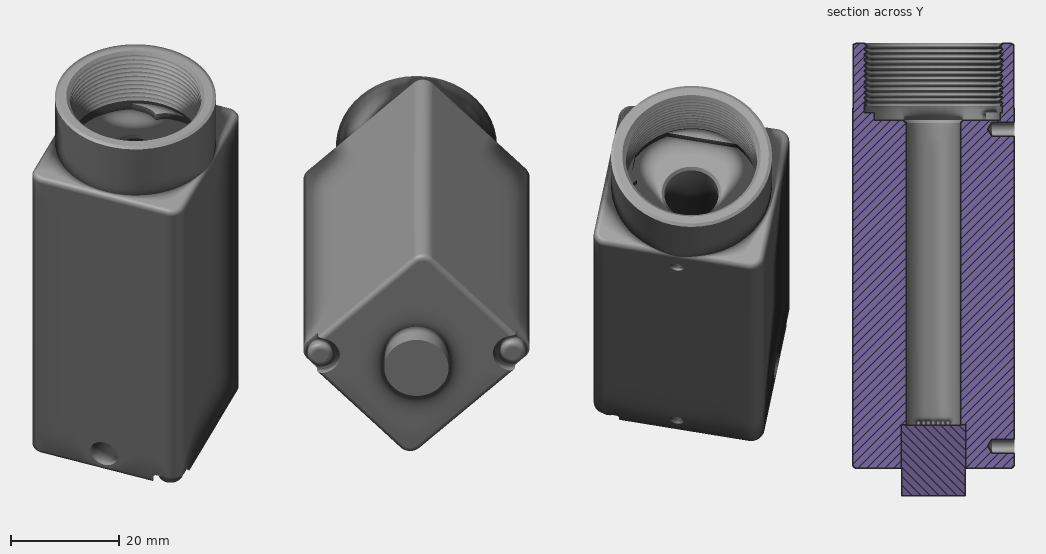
import cadquery as cq
import math

total_height = 83.45
width_x = 30.0
depth_y = 32.0

case_bottom = 5.0
case_top = 72.0
corner_radius = 2.5
rim_fillet = 1.0

ring_radius = 14.85
ring_edge_inset = 0.6
ring_edge_height = 0.25

thread_crest_radius = 12.2
thread_root_radius = 12.8
thread_pitch = 1.0
thread_turns = 11
mouth_chamfer = thread_root_radius - thread_crest_radius
thread_top = total_height - mouth_chamfer
thread_bottom = thread_top - thread_turns * thread_pitch

seat_radius = 12.7
seat_floor = 69.3
tab_top = 70.7
flat_tab_distance = 10.85
cusp_tab_distance = 11.5
cusp_tip_distance = 10.3
cusp_arc_radius = 4.2
cusp_tab_angles = (90, 200)

aperture_radius = 5.0
aperture_chamfer = 0.5

connector_radius = 5.9
connector_top = 13.0
pin_radius = 0.29
pin_height = 0.7
outer_pin_circle = 2.75
outer_pin_count = 9
inner_pin_circle = 1.04
inner_pin_count = 3

drill_tip_angle = 118
tripod_hole_radius = 2.7
tripod_hole_depth = 5.0
side_hole_radius = 1.25
side_hole_depth = 4.2
lower_hole_height = 9.2
upper_hole_height = 67.6

foot_inset = 2.9
foot_radius = 2.3
foot_recess_radius = 3.7
foot_recess_fillet = 0.4
foot_recess_top = 7.2


def case_blank():
    """Rectangular case with rounded upright edges and end rims."""
    base = cq.Workplane("XY").workplane(offset=case_bottom)
    block = base.rect(width_x, depth_y).extrude(case_top - case_bottom)
    return block.edges("|Z").fillet(corner_radius).faces("<Z or >Z").edges().fillet(rim_fillet)


def mount_ring():
    """Solid ring blank, reaching down through the rounded rim of the case."""
    base = case_top - rim_fillet
    return (
        cq.Workplane("XZ")
        .moveTo(0, base)
        .lineTo(ring_radius, base)
        .lineTo(ring_radius, total_height - ring_edge_height)
        .lineTo(ring_radius - ring_edge_inset, total_height)
        .lineTo(0, total_height)
        .close()
        .revolve(360, (0, 0, 0), (0, 1, 0))
    )


def bore_cutter():
    """Chamfered mouth, thread grooves and plain seat as one turned shape."""
    profile = (
        cq.Workplane("XZ")
        .moveTo(0, total_height)
        .lineTo(thread_root_radius, total_height)
        .lineTo(thread_crest_radius, thread_top)
    )
    for turn in range(thread_turns):
        groove_top = thread_top - turn * thread_pitch
        profile = profile.lineTo(thread_root_radius, groove_top - thread_pitch / 2)
        profile = profile.lineTo(thread_crest_radius, groove_top - thread_pitch)
    return (
        profile.lineTo(seat_radius, thread_bottom)
        .lineTo(seat_radius, seat_floor)
        .lineTo(0, seat_floor)
        .close()
        .revolve(360, (0, 0, 0), (0, 1, 0))
    )


def seat_plane():
    """Workplane on the seat floor."""
    return cq.Workplane("XY").workplane(offset=seat_floor)


def tab_from(outline):
    """Raise a closed outline to the tab height and trim it to the round seat wall."""
    tab_height = tab_top - seat_floor
    return outline.extrude(tab_height).intersect(seat_plane().circle(seat_radius).extrude(tab_height))


def flat_tab():
    """Tab on the +X side with a straight inner edge."""
    return tab_from(
        seat_plane()
        .moveTo(flat_tab_distance, -seat_radius)
        .lineTo(seat_radius, -seat_radius)
        .lineTo(seat_radius, seat_radius)
        .lineTo(flat_tab_distance, seat_radius)
        .close()
    )


def cusp_tab(angle):
    """Tab with a straight inner edge that runs through two arcs into a point, turned to the given angle."""
    arc_center_y = cusp_tab_distance - cusp_arc_radius
    tip_angle = math.pi - math.asin((cusp_tip_distance - arc_center_y) / cusp_arc_radius)
    arc_center_x = -cusp_arc_radius * math.cos(tip_angle)
    middle_angle = (math.pi / 2 + tip_angle) / 2
    middle_x = arc_center_x + cusp_arc_radius * math.cos(middle_angle)
    middle_y = arc_center_y + cusp_arc_radius * math.sin(middle_angle)
    tab = tab_from(
        seat_plane()
        .moveTo(seat_radius, cusp_tab_distance)
        .lineTo(arc_center_x, cusp_tab_distance)
        .threePointArc((middle_x, middle_y), (0, cusp_tip_distance))
        .threePointArc((-middle_x, middle_y), (-arc_center_x, cusp_tab_distance))
        .lineTo(-seat_radius, cusp_tab_distance)
        .lineTo(-seat_radius, seat_radius)
        .lineTo(seat_radius, seat_radius)
        .close()
    )
    return tab.rotate((0, 0, 0), (0, 0, 1), angle - 90)


def aperture_cutter():
    """Chamfered round opening from the seat floor to the top of the connector."""
    return (
        cq.Workplane("XZ")
        .moveTo(0, connector_top)
        .lineTo(aperture_radius, connector_top)
        .lineTo(aperture_radius, seat_floor - aperture_chamfer)
        .lineTo(aperture_radius + aperture_chamfer, seat_floor)
        .lineTo(0, seat_floor)
        .close()
        .revolve(360, (0, 0, 0), (0, 1, 0))
    )


def connector_bore():
    """Round seat for the connector in the bottom of the case."""
    return (
        cq.Workplane("XY")
        .workplane(offset=case_bottom)
        .circle(connector_radius)
        .extrude(connector_top - case_bottom)
    )


def drill(radius, depth):
    """Drill shape along +X from the origin, with a conical tip."""
    tip_length = radius / math.tan(math.radians(drill_tip_angle / 2))
    return (
        cq.Workplane("XY")
        .lineTo(0, radius)
        .lineTo(depth, radius)
        .lineTo(depth + tip_length, 0)
        .close()
        .revolve(360, (0, 0, 0), (1, 0, 0))
    )


def tripod_hole():
    """Blind hole in the -Y side."""
    along_y = drill(tripod_hole_radius, tripod_hole_depth).rotate((0, 0, 0), (0, 0, 1), 90)
    return along_y.translate((0, -depth_y / 2, lower_hole_height))


def side_hole(height):
    """Blind mounting hole in the -X side."""
    return drill(side_hole_radius, side_hole_depth).translate((-width_x / 2, 0, height))


def corner_foot_cutter(side):
    """Round recess around a foot on the diagonal; side +1 is the +X -Y corner, -1 the opposite one."""
    center = (side * (width_x / 2 - foot_inset), side * (foot_inset - depth_y / 2))
    height = foot_recess_top - case_bottom
    plane = cq.Workplane("XY").workplane(offset=case_bottom)
    recess = plane.center(*center).circle(foot_recess_radius).extrude(height)
    recess = recess.faces(">Z").edges().fillet(foot_recess_fillet)
    foot = plane.center(*center).circle(foot_radius).extrude(height)
    gap = recess.cut(foot)
    foot_rim = foot.cut(foot.faces("<Z").edges().fillet(rim_fillet))
    return gap.union(foot_rim)


def make_housing():
    housing = case_blank().union(mount_ring()).cut(bore_cutter())
    housing = housing.union(flat_tab())
    for angle in cusp_tab_angles:
        housing = housing.union(cusp_tab(angle))
    housing = housing.cut(aperture_cutter()).cut(connector_bore()).cut(tripod_hole())
    for height in (lower_hole_height, upper_hole_height):
        housing = housing.cut(side_hole(height))
    for side in (1, -1):
        housing = housing.cut(corner_foot_cutter(side))
    return housing


def make_connector():
    """Round connector whose contact pins stand on its inner face."""
    body = cq.Workplane("XY").circle(connector_radius).extrude(connector_top)
    face = cq.Workplane("XY").workplane(offset=connector_top)
    outer_pins = face.polarArray(outer_pin_circle, -90, 360, outer_pin_count)
    body = body.union(outer_pins.circle(pin_radius).extrude(pin_height))
    inner_pins = face.polarArray(inner_pin_circle, 90, 360, inner_pin_count)
    return body.union(inner_pins.circle(pin_radius).extrude(pin_height))


housing = make_housing()
connector = make_connector()

result = cq.Compound.makeCompound([housing.val(), connector.val()])